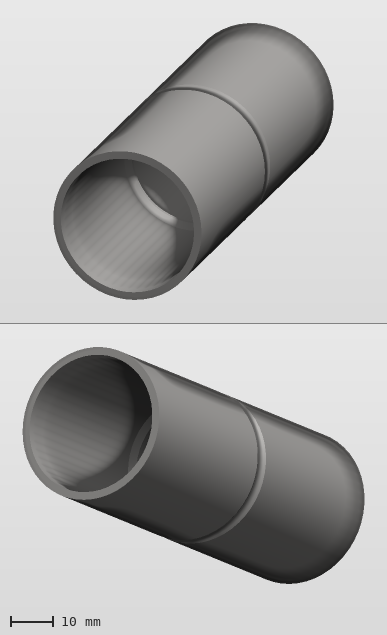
import cadquery as cq

length = 100.0
outer_diameter = 36.5
bore_diameter = 32.8
groove_floor_diameter = 33.8
groove_mouth_width = 4.0
groove_floor_width = 1.0

outer_radius = outer_diameter / 2
bore_radius = bore_diameter / 2
groove_depth = (outer_diameter - groove_floor_diameter) / 2


def body_of_revolution(radius):
    """Solid round body along Y, necked in at mid-length by the groove."""
    neck_radius = radius - groove_depth
    half_length = length / 2
    half_mouth = groove_mouth_width / 2
    half_floor = groove_floor_width / 2
    return (
        cq.Workplane("XY")
        .moveTo(0, -half_length)
        .lineTo(radius, -half_length)
        .lineTo(radius, -half_mouth)
        .lineTo(neck_radius, -half_floor)
        .lineTo(neck_radius, half_floor)
        .lineTo(radius, half_mouth)
        .lineTo(radius, half_length)
        .lineTo(0, half_length)
        .close()
        .revolve(360, (0, 0, 0), (0, 1, 0))
    )


result = body_of_revolution(outer_radius).cut(body_of_revolution(bore_radius))